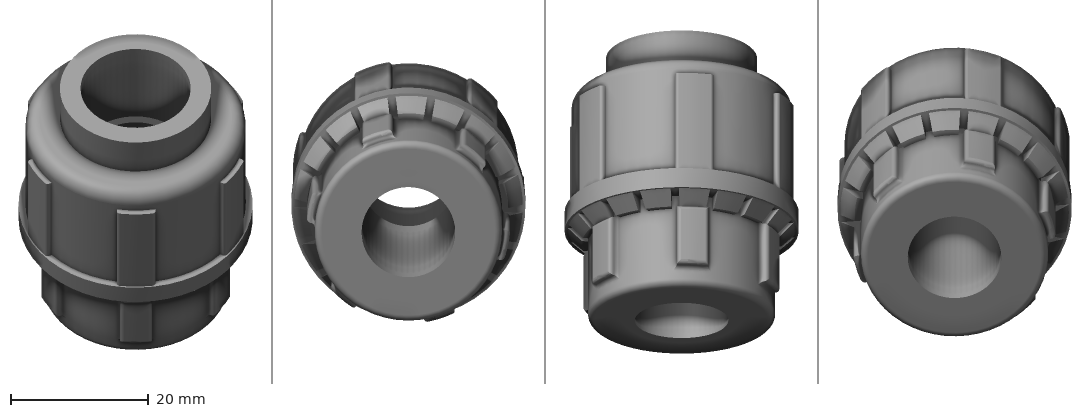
import cadquery as cq
import math

TOTAL_HEIGHT = 41.0
NUT_TOP = 35.0
FLANGE_TOP = 17.0
FLANGE_BOTTOM = 14.0
TEETH_BOTTOM = 12.0

SPIGOT_DIAMETER = 22.0
NUT_DIAMETER = 32.0
FLANGE_DIAMETER = 34.0
BODY_DIAMETER = 27.2
BORE_DIAMETER = 13.6
SOCKET_DIAMETER = 16.0
SOCKET_DEPTH = 14.0

NUT_TOP_FILLET = 2.0
BODY_BOTTOM_FILLET = 1.0

TEETH_TOP_RADIUS = 16.6
TEETH_BOTTOM_RADIUS = 14.5
TOOTH_COUNT = 18
TOOTH_GAP = 1.2

RIB_COUNT = 6
RIB_START_ANGLE = 30.0

NUT_RIB_WIDTH = 5.6
NUT_RIB_RADIUS = 16.8
NUT_RIB_TOP = 32.0
NUT_RIB_FILLET = 0.5

BODY_RIB_WIDTH = 4.6
BODY_RIB_RADIUS = 14.8
BODY_RIB_BOTTOM = 3.0
BODY_RIB_TOP = 12.1
BODY_RIB_FILLET = 0.6
BODY_RIB_ROOT_FILLET = 0.55

RIB_EMBED = 2.0

TOLERANCE = 0.01


def cylinder(diameter, bottom, top):
    """Solid cylinder on the Z axis between two heights."""
    return cq.Workplane("XY").workplane(offset=bottom).circle(diameter / 2).extrude(top - bottom)


def around_axis(shape, count, start_angle=0.0):
    """Union of equally spaced copies of a shape turned about the Z axis."""
    copies = cq.Workplane("XY")
    for index in range(count):
        angle = start_angle + index * 360.0 / count
        copies = copies.add(shape.rotate((0, 0, 0), (0, 0, 1), angle))
    return copies.combine()


def rib(width, inner_radius, outer_radius, bottom, top):
    """Parallel-sided rib on the +X side with a cylindrical outer face."""
    block = (
        cq.Workplane("XY")
        .workplane(offset=bottom)
        .center((inner_radius + outer_radius) / 2, 0)
        .rect(outer_radius - inner_radius, width)
        .extrude(top - bottom)
    )
    return block.intersect(cylinder(2 * outer_radius, bottom, top))


def make_lower_body():
    """Lower barrel with ribs rounded at the outer face and blended at the root."""
    body_radius = BODY_DIAMETER / 2
    barrel = cylinder(BODY_DIAMETER, 0, FLANGE_TOP).faces("<Z").edges().fillet(BODY_BOTTOM_FILLET)
    body_rib = rib(
        BODY_RIB_WIDTH, body_radius - RIB_EMBED, BODY_RIB_RADIUS, BODY_RIB_BOTTOM, BODY_RIB_TOP
    )
    body_rib = body_rib.faces(">X").edges().fillet(BODY_RIB_FILLET)
    ribbed = barrel.union(around_axis(body_rib, RIB_COUNT, RIB_START_ANGLE))

    def is_root_edge(edge):
        box = edge.BoundingBox()
        middle = edge.positionAt(0.5)
        on_barrel = abs(math.hypot(middle.x, middle.y) - body_radius) < TOLERANCE
        above_bottom = box.zmin > BODY_RIB_BOTTOM - TOLERANCE
        below_top = box.zmax < BODY_RIB_TOP + TOLERANCE
        return on_barrel and above_bottom and below_top

    root_edges = [edge for edge in ribbed.edges().vals() if is_root_edge(edge)]
    return ribbed.newObject(root_edges).fillet(BODY_RIB_ROOT_FILLET)


def make_teeth():
    """Conical ring under the flange, split into teeth by radial gaps."""
    cone = (
        cq.Workplane("XY")
        .workplane(offset=TEETH_BOTTOM)
        .circle(TEETH_BOTTOM_RADIUS)
        .workplane(offset=FLANGE_BOTTOM - TEETH_BOTTOM)
        .circle(TEETH_TOP_RADIUS)
        .loft()
    )
    ring = cone.cut(cylinder(BODY_DIAMETER, TEETH_BOTTOM, FLANGE_BOTTOM))
    gap = (
        cq.Workplane("XY")
        .workplane(offset=TEETH_BOTTOM)
        .center(FLANGE_DIAMETER / 4, 0)
        .rect(FLANGE_DIAMETER / 2, TOOTH_GAP)
        .extrude(FLANGE_BOTTOM - TEETH_BOTTOM)
    )
    return ring.cut(around_axis(gap, TOOTH_COUNT))


def make_nut():
    """Union nut with rounded shoulder, flange and axial grip ribs."""
    nut = cylinder(NUT_DIAMETER, FLANGE_BOTTOM, NUT_TOP).faces(">Z").edges().fillet(NUT_TOP_FILLET)
    flange = cylinder(FLANGE_DIAMETER, FLANGE_BOTTOM, FLANGE_TOP)
    nut_rib = rib(
        NUT_RIB_WIDTH, NUT_DIAMETER / 2 - RIB_EMBED, NUT_RIB_RADIUS, FLANGE_TOP, NUT_RIB_TOP
    )
    nut_rib = nut_rib.faces(">X").edges("|Z").fillet(NUT_RIB_FILLET)
    return nut.union(flange).union(around_axis(nut_rib, RIB_COUNT, RIB_START_ANGLE))


def make_bore():
    """Through bore with a wider pipe socket at the top."""
    bore = cylinder(BORE_DIAMETER, 0, TOTAL_HEIGHT)
    socket = cylinder(SOCKET_DIAMETER, TOTAL_HEIGHT - SOCKET_DEPTH, TOTAL_HEIGHT)
    return bore.union(socket)


spigot = cylinder(SPIGOT_DIAMETER, FLANGE_TOP, TOTAL_HEIGHT)
result = make_lower_body().union(make_nut()).union(make_teeth()).union(spigot).cut(make_bore())